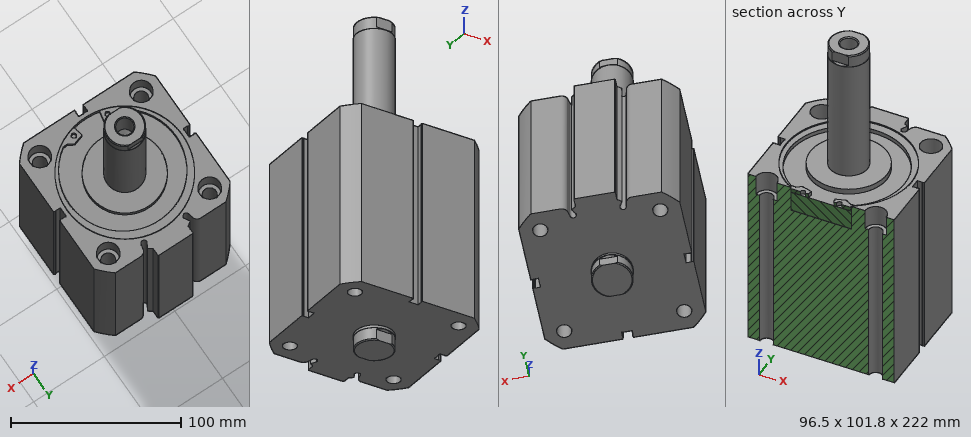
import cadquery as cq
import math

total_height = 222.0
housing_width = 96.5
housing_height = 122.3
rod_bottom = -10.0
rod_top = rod_bottom + total_height
half_width = housing_width / 2

corner_radius = 62.2
ridge_half_width = 12.5
ridge_height = 5.3
ridge_top = half_width + ridge_height
ridge_edge_chamfer = 0.5
channel_outer_x = 21.0
channel_mouth_round = (-19.0, 47.5)
channel_mouth_end = (-17.8, 46.0)
channel_wall_end = (-16.9, 42.6)
channel_floor = (-14.9, 40.6)
channel_inner_wall = (-13.0, 42.8)
channel_lip = (-15.0, 46.5)
bolt_spacing = 72.0
bolt_diameter = 8.9
bolt_head_diameter = 13.8
bolt_head_depth = 13.3
slot_width = 6.2
slot_depth = 4.7
lip_height = 0.33
lip_length = 1.3
lip_setback = 0.33
bore_radius = 41.0

circlip_recess = 0.9
circlip_thickness = 2.7
cover_thickness = 13.3
boss_radius = 25.0
circlip_top = housing_height - circlip_recess
cover_face = circlip_top - circlip_thickness
bore_floor = cover_face - cover_thickness
boss_top = housing_height

circlip_inner_radius = 37.7
circlip_offset = 2.1
lug_start_x = 21.0
lug_neck = (18.0, -33.5)
lug_peak = (14.5, -31.3)
lug_tip = (7.8, -33.3)
lug_end_x = 9.0
lug_hole_diameter = 3.0
lug_hole_x = 12.0
lug_hole_y = -35.7

rod_radius = 12.5
rod_edge_chamfer = 0.7
flat_offset = 11.0
flat_length = 7.0
flat_ramp = 1.0
end_length = flat_length + flat_ramp
end_step = 0.1
rod_hole_diameter = 10.7
rod_hole_depth = 22.2
rod_hole_countersink = 12.0
drill_angle = 118.0


def channel_outline():
    """Undercut channel beside the -X side of the ridge, open toward +Y."""
    return (
        cq.Workplane("XY")
        .moveTo(-channel_outer_x, half_width)
        .threePointArc(channel_mouth_round, channel_mouth_end)
        .lineTo(*channel_wall_end)
        .threePointArc(channel_floor, channel_inner_wall)
        .lineTo(*channel_lip)
        .lineTo(-ridge_half_width, half_width)
        .close()
    )


def side_slot(angle):
    """Full-height slot with small lips near its mouth, cut into the face at this angle."""
    mouth = cq.Workplane("XY").box(slot_depth, slot_width, housing_height, centered=(False, True, False))
    mouth = mouth.translate((half_width - slot_depth, 0, 0))
    for side in (-1, 1):
        lip = (
            cq.Workplane("XY")
            .center(half_width - lip_setback, side * slot_width / 2)
            .polyline([(0, 0), (-lip_length / 2, -side * lip_height), (-lip_length, 0)])
            .close()
            .extrude(housing_height)
        )
        mouth = mouth.cut(lip)
    return mouth.rotate((0, 0, 0), (0, 0, 1), angle)


def make_housing():
    body = cq.Workplane("XY").rect(housing_width, housing_width).extrude(housing_height)
    body = body.intersect(cq.Workplane("XY").circle(corner_radius).extrude(housing_height))

    ridge = (
        cq.Workplane("XY")
        .center(0, ridge_top / 2)
        .rect(2 * ridge_half_width, ridge_top)
        .extrude(housing_height)
        .edges("|Z and >Y")
        .chamfer(ridge_edge_chamfer)
    )
    channel = channel_outline().extrude(housing_height)
    body = body.union(ridge).cut(channel).cut(channel.mirror("YZ"))

    for angle in (0, 180, 270):
        body = body.cut(side_slot(angle))

    body = (
        body.faces(">Z")
        .workplane(origin=(0, 0, housing_height))
        .rect(bolt_spacing, bolt_spacing, forConstruction=True)
        .vertices()
        .cboreHole(bolt_diameter, bolt_head_diameter, bolt_head_depth)
    )
    bore = cq.Workplane("XY").workplane(offset=bore_floor).circle(bore_radius).extrude(housing_height)
    rod_passage = cq.Workplane("XY").circle(rod_radius).extrude(housing_height)
    return body.cut(bore).cut(rod_passage)


def make_cover():
    disc = cq.Workplane("XY").workplane(offset=bore_floor).circle(bore_radius).extrude(cover_thickness)
    boss = cq.Workplane("XY").workplane(offset=cover_face).circle(boss_radius).extrude(boss_top - cover_face)
    rod_passage = cq.Workplane("XY").circle(rod_radius).extrude(housing_height)
    return disc.union(boss).cut(rod_passage)


def make_circlip():
    lug_start_y = -circlip_offset - math.sqrt(circlip_inner_radius**2 - lug_start_x**2)
    lug_end_y = -math.sqrt(bore_radius**2 - lug_end_x**2)
    ring = (
        cq.Workplane("XY")
        .workplane(offset=cover_face)
        .moveTo(-lug_start_x, lug_start_y)
        .threePointArc((0, circlip_inner_radius - circlip_offset), (lug_start_x, lug_start_y))
        .lineTo(*lug_neck)
        .lineTo(*lug_peak)
        .lineTo(*lug_tip)
        .lineTo(lug_end_x, lug_end_y)
        .threePointArc((0, bore_radius), (-lug_end_x, lug_end_y))
        .lineTo(-lug_tip[0], lug_tip[1])
        .lineTo(-lug_peak[0], lug_peak[1])
        .lineTo(-lug_neck[0], lug_neck[1])
        .close()
        .extrude(circlip_thickness)
    )
    lug_holes = (
        cq.Workplane("XY")
        .workplane(offset=cover_face)
        .pushPoints([(-lug_hole_x, lug_hole_y), (lug_hole_x, lug_hole_y)])
        .circle(lug_hole_diameter / 2)
        .extrude(circlip_thickness)
    )
    return ring.cut(lug_holes)


def wrench_flat(end_z, inward, side):
    """Cutter for one flat at a rod end, ramping out to the full round at its inner end."""
    return (
        cq.Workplane("YZ")
        .polyline([
            (side * flat_offset, end_z),
            (side * flat_offset, end_z + inward * flat_length),
            (side * rod_radius, end_z + inward * end_length),
            (side * rod_radius, end_z),
        ])
        .close()
        .extrude(rod_radius, both=True)
    )


def make_rod():
    shank_length = total_height - 2 * end_length
    shank_bottom = rod_bottom + end_length
    shank = cq.Workplane("XY").workplane(offset=shank_bottom).circle(rod_radius).extrude(shank_length)
    core = cq.Workplane("XY").workplane(offset=rod_bottom).circle(rod_radius - end_step).extrude(total_height)
    rod = core.union(shank)
    rod = rod.faces("<Z or >Z").chamfer(rod_edge_chamfer)
    for end_z, inward in ((rod_bottom, 1), (rod_top, -1)):
        for side in (-1, 1):
            rod = rod.cut(wrench_flat(end_z, inward, side))

    hole_radius = rod_hole_diameter / 2
    mouth_radius = rod_hole_countersink / 2
    cone_depth = hole_radius / math.tan(math.radians(drill_angle / 2))
    hole = (
        cq.Workplane("XZ")
        .polyline([
            (0, rod_top),
            (mouth_radius, rod_top),
            (hole_radius, rod_top - (mouth_radius - hole_radius)),
            (hole_radius, rod_top - rod_hole_depth),
            (0, rod_top - rod_hole_depth - cone_depth),
        ])
        .close()
        .revolve(360, (0, 0, 0), (0, 1, 0))
    )
    return rod.cut(hole)


housing = make_housing()
cover = make_cover()
circlip = make_circlip()
rod = make_rod()

result = cq.Compound.makeCompound([housing.val(), cover.val(), circlip.val(), rod.val()])